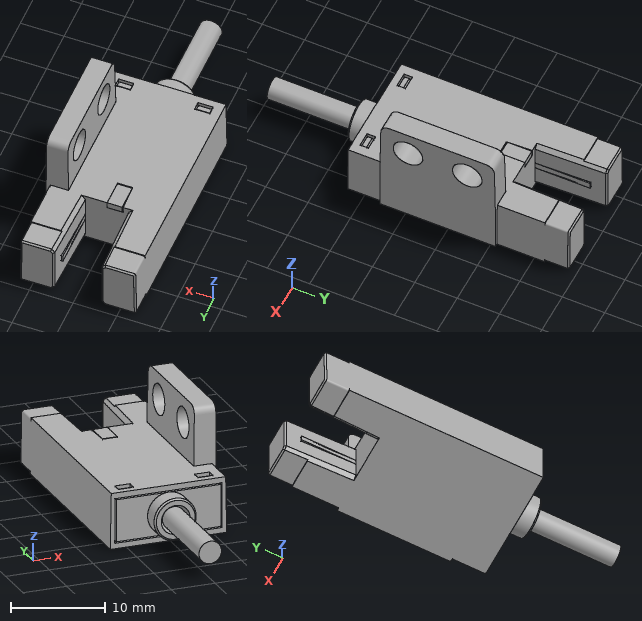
import cadquery as cq


housing_width = 13.35
housing_length = 26.15
housing_height = 6.42
side_draft = 0.1
half_width = housing_width / 2
mid_height = housing_height / 2

slot_root = 17.73
slot_root_half_width = 2.5
slot_tip_half_width = 2.7
slot_chamfer_width = 0.45
slot_chamfer_height = 0.5

tip_length = 2.9
tip_step = 0.1
tip_side_radius = 0.25
tip_end_chamfer = 0.2
tip_start = housing_length - tip_length

flange_rear = 4.0
flange_length = 13.6
flange_inner_side = 4.47
flange_overhang = 0.4
flange_outer_side = half_width + flange_overhang
flange_height = 6.75
flange_draft = 0.1
flange_end_draft = 0.1
flange_radius = 1.05
flange_front = flange_rear + flange_length
flange_top = housing_height + flange_height
mount_hole_diameter = 3.48
mount_hole_spacing = 7.0
mount_hole_drop = 2.98

cover_width = 11.95
cover_height = 4.8
cover_depth = 2.3
mouth_gap = 0.15
mouth_depth = 0.75

window_center = 4.55
window_width = 1.72
window_rear = 0.88
window_length = 1.0
lug_clearance = 0.08
lug_width = window_width - 2 * lug_clearance
lug_rear = window_rear + lug_clearance
lug_flat_length = 0.57
lug_drop = 0.35
lug_top = housing_height - lug_drop
cover_top = mid_height + cover_height / 2

collar_diameter = 4.8
collar_length = 2.05
collar_chamfer = 0.2
cable_diameter = 2.6
cable_reach = 12.07
flare_diameter = 3.3
flare_depth = 0.57

lamp_left = -1.72
lamp_width = 1.72
lamp_length = 2.9
lamp_depth = 0.75
lamp_pocket_draft = 0.1
lamp_end_gap = 0.1

lens_front = 24.23
lens_half_gap = 2.5
lens_thickness = 0.57
lens_height = 0.8


def box(x_range, y_range, z_range):
    """Block between two limits along each axis."""
    sizes = [high - low for low, high in (x_range, y_range, z_range)]
    corner = (x_range[0], y_range[0], z_range[0])
    return cq.Workplane("XY").box(*sizes, centered=False).translate(corner)


def rear_cylinder(diameter, start, end):
    """Cylinder on the cable axis between Y = start and Y = end, with its seam on the -X side."""
    plane = cq.Plane(origin=(0, start, mid_height), xDir=(-1, 0, 0), normal=(0, 1, 0))
    return cq.Workplane(plane).circle(diameter / 2).extrude(end - start)


def slot_section(wall):
    """Slot cross-section at half width `wall`, chamfered at both open edges."""
    edge = wall + slot_chamfer_width
    low = slot_chamfer_height
    high = housing_height - slot_chamfer_height
    right = [(edge, 0), (wall, low), (wall, high), (edge, housing_height)]
    left = [(-x, z) for x, z in reversed(right)]
    return right + left


def make_slot():
    root = cq.Workplane("XZ", origin=(0, slot_root, 0))
    section = root.polyline(slot_section(slot_root_half_width)).close()
    tip = section.workplane(offset=slot_root - housing_length)
    return tip.polyline(slot_section(slot_tip_half_width)).close().loft(ruled=True)


def make_flange():
    """Mounting flange with drafted upper part, rounded corners and two holes."""
    foot = box((flange_inner_side, flange_outer_side), (flange_rear, flange_front), (0, housing_height))
    base_width = flange_outer_side - flange_inner_side
    base_center = (flange_outer_side + flange_inner_side) / 2
    middle = (flange_rear + flange_front) / 2
    plate = (
        cq.Workplane("XY", origin=(base_center, middle, housing_height))
        .rect(base_width, flange_length)
        .workplane(offset=flange_height)
        .center(flange_draft / 2, 0)
        .rect(base_width - flange_draft, flange_length - 2 * flange_end_draft)
        .loft(ruled=True)
        .faces(">Z").edges("|X").fillet(flange_radius)
    )
    holes = (
        cq.Workplane("YZ", origin=(flange_inner_side, middle, flange_top - mount_hole_drop))
        .rarray(mount_hole_spacing, 0.4, 2, 1)
        .circle(mount_hole_diameter / 2)
        .extrude(base_width)
    )
    return foot.union(plate.cut(holes))


def shape_tips(body):
    """Thin both prong tips from above and below, then ease their outer and end edges."""
    across = (-half_width, half_width)
    along = (tip_start, housing_length)
    for z_range in ((0, tip_step), (housing_height - tip_step, housing_height)):
        body = body.cut(box(across, along, z_range))
    middle = (tip_start + housing_length) / 2
    for side in (-1, 1):
        for z in (tip_step, housing_height - tip_step):
            outer_edge = cq.selectors.NearestToPointSelector((side * half_width, middle, z))
            body = body.edges(outer_edge).fillet(tip_side_radius)
    return body.faces(">Y").edges().chamfer(tip_end_chamfer)


def make_cover_plate():
    rear = cq.Workplane("XZ", origin=(0, 0, mid_height))
    return rear.rect(cover_width, cover_height).extrude(-cover_depth)


def make_cover_opening():
    """Rear opening that fits the cover, flared at its mouth to leave a gap around it."""
    mouth = (
        cq.Workplane("XZ", origin=(0, 0, mid_height))
        .rect(cover_width + 2 * mouth_gap, cover_height + 2 * mouth_gap)
        .workplane(offset=-mouth_depth)
        .rect(cover_width, cover_height)
        .loft(ruled=True)
    )
    return make_cover_plate().union(mouth)


def make_window(center):
    x_range = (center - window_width / 2, center + window_width / 2)
    y_range = (window_rear, window_rear + window_length)
    return box(x_range, y_range, (mid_height, housing_height))


def make_lamp_pocket():
    """Pocket open to the slot, with its -X side drafted and a gap behind the lamp."""
    lamp_right = lamp_left + lamp_width
    rear = slot_root - lamp_length - lamp_end_gap
    outline = [
        (lamp_left - lamp_pocket_draft, slot_root),
        (lamp_left, rear),
        (lamp_right, rear),
        (lamp_right, slot_root),
    ]
    floor = cq.Workplane("XY", origin=(0, 0, housing_height - lamp_depth))
    return floor.polyline(outline).close().extrude(lamp_depth)


def make_lamp():
    return box(
        (lamp_left, lamp_left + lamp_width),
        (slot_root - lamp_length, slot_root),
        (housing_height - lamp_depth, housing_height),
    )


def make_lens(side):
    """Lens strip let into the slot wall on one side (-1 or +1)."""
    limits = (side * lens_half_gap, side * (lens_half_gap + lens_thickness))
    z_range = (mid_height - lens_height / 2, mid_height + lens_height / 2)
    return box((min(limits), max(limits)), (slot_root, lens_front), z_range)


def make_housing():
    top_half_width = half_width - side_draft
    outline = [
        (-half_width, 0),
        (half_width, 0),
        (top_half_width, housing_height),
        (-top_half_width, housing_height),
    ]
    body = cq.Workplane("XZ").polyline(outline).close().extrude(-housing_length)
    body = shape_tips(body.cut(make_slot()))
    body = body.union(make_flange())
    body = body.cut(make_cover_opening()).cut(make_lamp_pocket())
    for side in (-1, 1):
        body = body.cut(make_window(side * window_center)).cut(make_lens(side))
    return body


def make_lug(center):
    """Snap lug with a flat top and a leading ramp down to the front of its window."""
    flat_end = lug_rear + lug_flat_length
    outline = [
        (lug_rear, cover_top),
        (lug_rear, lug_top),
        (flat_end, lug_top),
        (window_rear + window_length, cover_top),
    ]
    plane = cq.Workplane("YZ", origin=(center - lug_width / 2, 0, 0))
    return plane.polyline(outline).close().extrude(lug_width)


def make_cover():
    """Rear cover plate with its cable collar and two snap lugs."""
    plate = make_cover_plate()
    collar = rear_cylinder(collar_diameter, 0, -collar_length).faces("<Y").chamfer(collar_chamfer)
    cover = plate.union(collar)
    for side in (-1, 1):
        cover = cover.union(make_lug(side * window_center))
    flare = (
        cq.Workplane("XZ", origin=(0, -collar_length, mid_height))
        .circle(flare_diameter / 2)
        .workplane(offset=-flare_depth)
        .circle(cable_diameter / 2)
        .loft()
    )
    return cover.cut(rear_cylinder(cable_diameter, cover_depth, -collar_length)).cut(flare)


housing = make_housing()
cover = make_cover()
cable = rear_cylinder(cable_diameter, cover_depth, -cable_reach)
lamp = make_lamp()
lenses = [make_lens(side).val() for side in (-1, 1)]

result = cq.Compound.makeCompound([housing.val(), cover.val(), cable.val(), lamp.val(), *lenses])